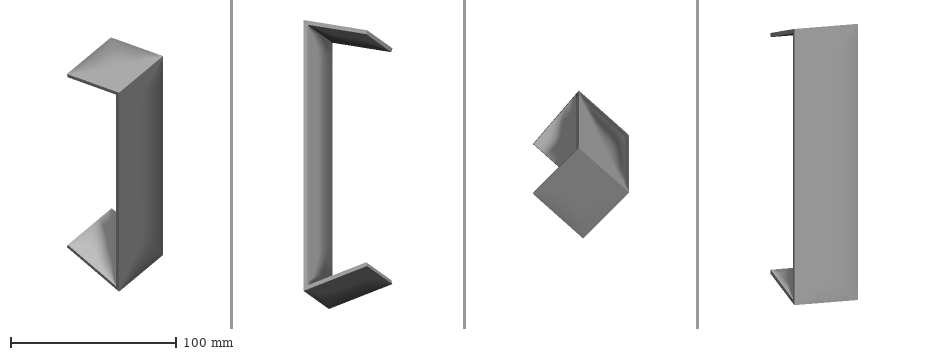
import cadquery as cq
import math

depth = 41.45
width = 41.0
height = 171.04
thickness = 2.5
flange_tilt = math.radians(15)

half_height = height / 2


def upper_profile():
    """Points of the upper half, from the outer web face round to the inner one."""
    slope = math.tan(flange_tilt)
    web_outer_x = depth / 2
    web_inner_x = web_outer_x - thickness
    outer_tip_x = -depth / 2
    outer_tip_z = half_height - depth * slope
    inner_tip_x = outer_tip_x + thickness * math.sin(flange_tilt)
    inner_tip_z = outer_tip_z - thickness * math.cos(flange_tilt)
    inner_corner_z = half_height - thickness * slope - thickness / math.cos(flange_tilt)
    return [
        (web_outer_x, half_height),
        (outer_tip_x, outer_tip_z),
        (inner_tip_x, inner_tip_z),
        (web_inner_x, inner_corner_z),
    ]


def bracket():
    """Extrude the symmetrical web and flange outline across the strip width."""
    upper = upper_profile()
    lower = [(x, -z) for x, z in reversed(upper)]
    outline = cq.Workplane("XZ").polyline(upper + lower).close()
    return outline.extrude(width / 2, both=True)


result = bracket()